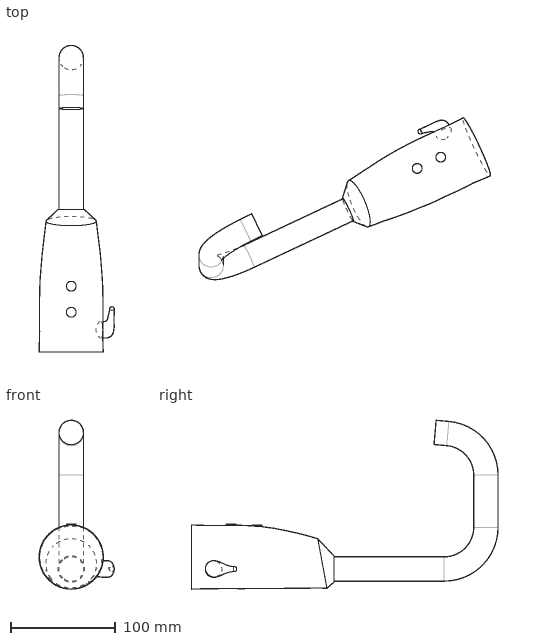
import cadquery as cq
import math

body_radius = 30.7
rim_top = (120.5, 17.5)
rim_bottom = (129.5, -29.9)
body_sections = [
    ((0, body_radius), (0, -body_radius)),
    ((41, 30.5), (41, -30.5)),
    ((79, 27.5), (85, -30.0)),
    ((101.0, 23.0), (106.8, -29.9)),
    (rim_top, rim_bottom),
]

pipe_radius = 11.7
pipe_z = -11.5
overall_length = 292.7
bend_radius = 39.8
riser_length = 49.8
outlet_bend_angle = 85.0
outlet_length = 12.3
collar_end_y = 136.0
collar_end_radius = 12.5
pipe_overlap = 3.0

buttons = [(38.0, 31.3), (63.0, 30.5)]
button_radius = 4.7
button_depth = 5.9

lever_z = pipe_z
lever_outer_x = 41.3
lever_tip_y = 43.3
lever_tip_radius = 2.5
lever_neck_radius = 2.3
lever_tip_x = lever_outer_x - lever_tip_radius
lever_tip_center_y = lever_tip_y - lever_tip_radius
lever_sections = [
    ((23.5, 29.3), (23.5, 13.2)),
    ((31.5, 29.3), (31.5, 13.2)),
    ((34.0, 30.5), (38.3, 15.5)),
    ((34.8, 32.8), (41.0, 22.2)),
    ((35.7, 37.0), (41.0, 33.5)),
    (
        (lever_tip_x - lever_neck_radius, lever_tip_center_y),
        (lever_tip_x + lever_neck_radius, lever_tip_center_y),
    ),
]


def circle_on_diameter(start, end, across):
    """Circle on the given diameter, in the plane of it and the direction across it."""
    diameter = end - start
    normal = diameter.cross(across)
    plane = cq.Plane(origin=(start + end) / 2, xDir=across, normal=normal)
    return cq.Workplane(plane).circle(diameter.Length / 2).wires().val()


def section_circle(top, bottom):
    """Circle, centred on X = 0, whose diameter joins two points (Y, Z)."""
    return circle_on_diameter(cq.Vector(0, *bottom), cq.Vector(0, *top), cq.Vector(-1, 0, 0))


def lever_circle(inner, outer):
    """Circle, centred at the lever height, whose diameter joins two points (X, Y)."""
    return circle_on_diameter(cq.Vector(*inner, lever_z), cq.Vector(*outer, lever_z), cq.Vector(0, 0, 1))


def make_body():
    wires = [section_circle(top, bottom) for top, bottom in body_sections]
    return cq.Workplane(cq.Solid.makeLoft(wires))


def make_collar():
    rim = section_circle(rim_top, rim_bottom)
    end = section_circle(
        (collar_end_y, pipe_z + collar_end_radius),
        (collar_end_y, pipe_z - collar_end_radius),
    )
    return cq.Workplane(cq.Solid.makeLoft([rim, end], True))


def make_pipe():
    start_y = collar_end_y - pipe_overlap
    riser_y = overall_length - pipe_radius
    bend_y = riser_y - bend_radius
    riser_start_z = pipe_z + bend_radius
    riser_end_z = riser_start_z + riser_length

    def on_bend(center_z, degrees):
        angle = math.radians(degrees)
        return (bend_y + bend_radius * math.cos(angle), center_z + bend_radius * math.sin(angle))

    bend_end = on_bend(riser_end_z, outlet_bend_angle)
    angle = math.radians(outlet_bend_angle)
    outlet_end = (
        bend_end[0] - outlet_length * math.sin(angle),
        bend_end[1] + outlet_length * math.cos(angle),
    )
    path = (
        cq.Workplane("YZ")
        .moveTo(start_y, pipe_z)
        .lineTo(bend_y, pipe_z)
        .threePointArc(on_bend(riser_start_z, -45), (riser_y, riser_start_z))
        .lineTo(riser_y, riser_end_z)
        .threePointArc(on_bend(riser_end_z, outlet_bend_angle / 2), bend_end)
        .lineTo(*outlet_end)
    )
    start_plane = cq.Plane(origin=(0, start_y, pipe_z), xDir=(1, 0, 0), normal=(0, 1, 0))
    return cq.Workplane(start_plane).circle(pipe_radius).sweep(path)


def make_button(y, face_z):
    base = cq.Workplane("XY", origin=(0, y, face_z - button_depth))
    return base.circle(button_radius).extrude(button_depth)


def make_lever():
    wires = [lever_circle(inner, outer) for inner, outer in lever_sections]
    arm = cq.Workplane(cq.Solid.makeLoft(wires))
    tip = cq.Workplane("XY", origin=(lever_tip_x, lever_tip_center_y, lever_z)).sphere(lever_tip_radius)
    return arm.union(tip)


result = make_body().union(make_collar()).union(make_pipe()).union(make_lever())
for button_y, button_face_z in buttons:
    result = result.union(make_button(button_y, button_face_z))